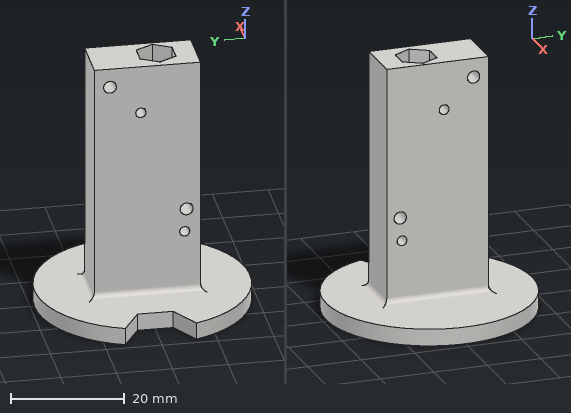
import cadquery as cq
import math

disc_diameter = 38.55
disc_radius = disc_diameter / 2
disc_thickness = 3.2

notch_floor_x = -12.7
notch_floor_half_width = 3.2
notch_flare_angle = 30.0

total_height = 47.6
column_width = 9.52
column_length = 19.05
column_center_x = -0.35
foot_fillet_radius = 1.3

bolt_center = (0.0, -2.5)
bolt_diameter = 3.8
hex_across_flats = 6.45
hex_depth = 6.35

large_pin_diameter = 2.3
small_pin_diameter = 1.8
pin_holes = [
    (6.7, 44.1, large_pin_diameter),
    (1.2, 38.65, small_pin_diameter),
    (-7.0, 19.3, large_pin_diameter),
    (-6.65, 14.95, small_pin_diameter),
]


def make_disc():
    return cq.Workplane("XY").circle(disc_radius).extrude(disc_thickness)


def make_notch():
    """Notch prism that runs outward past the disc rim."""
    outer_x = -disc_diameter
    flare = (notch_floor_x - outer_x) * math.tan(math.radians(notch_flare_angle))
    outer_half_width = notch_floor_half_width + flare
    return (
        cq.Workplane("XY")
        .moveTo(notch_floor_x, -notch_floor_half_width)
        .lineTo(notch_floor_x, notch_floor_half_width)
        .lineTo(outer_x, outer_half_width)
        .lineTo(outer_x, -outer_half_width)
        .close()
        .extrude(disc_thickness)
    )


def filleted_profile(plane, size):
    """Upright slab profile of the given width, with concave fillets at its foot."""
    half_size = size / 2
    foot_half_size = half_size + foot_fillet_radius
    fillet_top = disc_thickness + foot_fillet_radius
    arc_offset = foot_fillet_radius * (1 - math.sqrt(0.5))
    arc_mid = (half_size + arc_offset, disc_thickness + arc_offset)
    return (
        cq.Workplane(plane)
        .moveTo(-foot_half_size, 0)
        .lineTo(foot_half_size, 0)
        .lineTo(foot_half_size, disc_thickness)
        .threePointArc(arc_mid, (half_size, fillet_top))
        .lineTo(half_size, total_height)
        .lineTo(-half_size, total_height)
        .lineTo(-half_size, fillet_top)
        .threePointArc((-arc_mid[0], arc_mid[1]), (-foot_half_size, disc_thickness))
        .close()
    )


def make_column():
    """Crossing two filleted slabs gives a foot fillet with mitred corners."""
    across_x = filleted_profile("XZ", column_width).extrude(disc_diameter, both=True)
    across_y = filleted_profile("YZ", column_length).extrude(disc_diameter, both=True)
    return across_x.intersect(across_y).translate((column_center_x, 0, 0))


def make_bolt_cut():
    """Through bore below a hexagonal pocket with two corners along X."""
    hex_across_corners = hex_across_flats / math.cos(math.radians(30))
    bore = cq.Workplane("XY").center(*bolt_center).circle(bolt_diameter / 2).extrude(total_height)
    pocket = (
        cq.Workplane("XY", origin=(0, 0, total_height))
        .center(*bolt_center)
        .polygon(6, hex_across_corners)
        .extrude(-hex_depth)
    )
    return bore.union(pocket)


def make_pin_cut(y, z, diameter):
    return (
        cq.Workplane("YZ")
        .center(y, z)
        .circle(diameter / 2)
        .extrude(column_width, both=True)
    )


result = make_disc().cut(make_notch()).union(make_column()).cut(make_bolt_cut())
for pin_y, pin_z, pin_diameter in pin_holes:
    result = result.cut(make_pin_cut(pin_y, pin_z, pin_diameter))